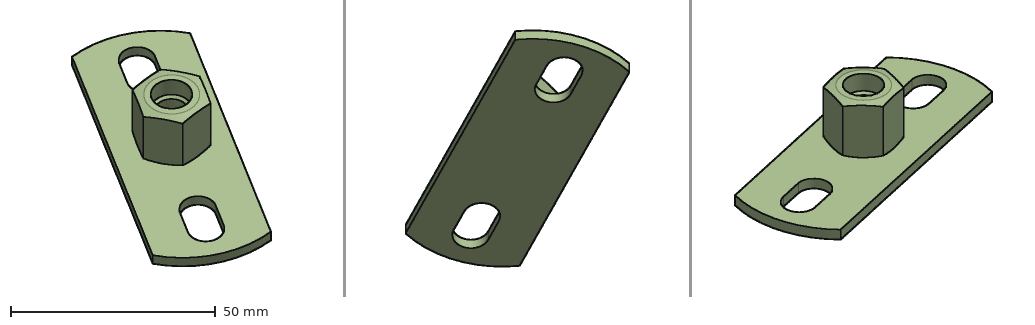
import cadquery as cq
import math

plate_length = 80.0
plate_width = 30.0
plate_thickness = 3.0
end_radius = 30.0

slot_length = 16.0
slot_width = 9.0
slot_offset = 27.0

total_height = 20.0
nut_height = total_height - plate_thickness
across_flats = 17.0
across_corners = across_flats / math.cos(math.radians(30))
corner_radius = across_corners / 2
top_face_radius = 6.8
top_bevel_height = 0.8
foot_radius = 5.6
foot_bevel_height = 2.0

bore_radius = 5.0
bore_depth = 5.0
core_radius = 4.1
core_depth = 12.0
drill_slope = math.tan(math.radians(30))


def make_plate():
    half_length = plate_length / 2
    half_width = plate_width / 2
    end_sagitta = end_radius - math.sqrt(end_radius**2 - half_width**2)
    corner_x = half_length - end_sagitta
    outline = (
        cq.Workplane("XY")
        .moveTo(-corner_x, -half_width)
        .lineTo(corner_x, -half_width)
        .threePointArc((half_length, 0), (corner_x, half_width))
        .lineTo(-corner_x, half_width)
        .threePointArc((-half_length, 0), (-corner_x, -half_width))
        .close()
    )
    slots = (
        cq.Workplane("XY")
        .pushPoints([(-slot_offset, 0), (slot_offset, 0)])
        .slot2D(slot_length, slot_width)
        .extrude(plate_thickness)
    )
    return outline.extrude(plate_thickness).cut(slots)


def revolve_profile(points):
    """Revolve a closed (radius, height) profile about the Z axis."""
    return cq.Workplane("XZ").polyline(points).close().revolve(360, (0, 0), (0, 1))


def make_bevel_envelope():
    """Round body whose conical ends bevel the corners of the hexagon."""
    return revolve_profile([
        (0, 0),
        (foot_radius, 0),
        (corner_radius, foot_bevel_height),
        (corner_radius, nut_height - top_bevel_height),
        (top_face_radius, nut_height),
        (0, nut_height),
    ])


def make_bore():
    shoulder_z = nut_height - bore_depth
    core_top_z = shoulder_z - (bore_radius - core_radius) * drill_slope
    core_bottom_z = nut_height - core_depth
    tip_z = core_bottom_z - core_radius * drill_slope
    return revolve_profile([
        (0, nut_height),
        (bore_radius, nut_height),
        (bore_radius, shoulder_z),
        (core_radius, core_top_z),
        (core_radius, core_bottom_z),
        (0, tip_z),
    ])


def make_nut():
    hexagon = cq.Workplane("XY").polygon(6, across_corners).extrude(nut_height)
    nut = hexagon.intersect(make_bevel_envelope()).cut(make_bore())
    return nut.translate((0, 0, plate_thickness))


plate = make_plate()
nut = make_nut()

result = cq.Compound.makeCompound([plate.solids().val(), nut.solids().val()])